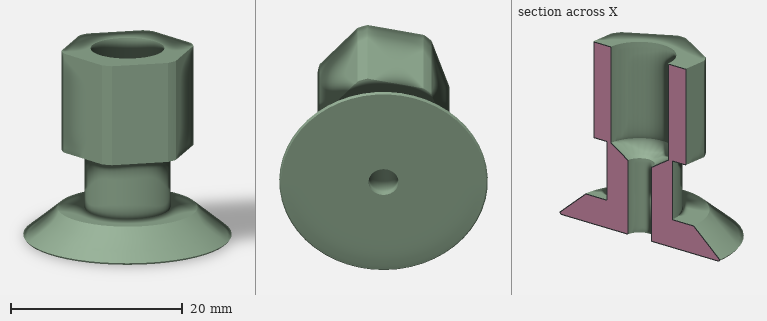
import cadquery as cq
import math

height = 22.8
cup_diameter = 24.32
cup_top_diameter = 16.35
cup_height = 3.53
lip_height = 0.25
lip_inset = 0.2
stem_diameter = 10.0
hex_bottom = 10.8
hex_across_flats = 14.0
hex_corner_diameter = 15.52
bore_diameter = 8.6
passage_diameter = 3.5
bore_cone_angle = 118.0


def make_cup_and_stem():
    """Revolve the flared cup, its bevelled lip and the stem around Z."""
    cup_radius = cup_diameter / 2
    stem_radius = stem_diameter / 2
    profile = (
        cq.Workplane("XZ")
        .lineTo(cup_radius - lip_inset, 0)
        .lineTo(cup_radius, lip_height)
        .lineTo(cup_top_diameter / 2, cup_height)
        .lineTo(stem_radius, cup_height)
        .lineTo(stem_radius, hex_bottom)
        .lineTo(0, hex_bottom)
        .close()
    )
    return profile.revolve(360, (0, 0, 0), (0, 1, 0))


def make_hex_head():
    """Hexagon with flats facing +Y and -Y, its corners turned to a cylinder."""
    head_height = height - hex_bottom
    vertex_diameter = hex_across_flats / math.cos(math.radians(30))
    base = cq.Workplane("XY").workplane(offset=hex_bottom)
    hexagon = base.polygon(6, vertex_diameter).extrude(head_height)
    corner_cylinder = base.circle(hex_corner_diameter / 2).extrude(head_height)
    return hexagon.intersect(corner_cylinder)


def make_bore():
    """Blind bore down to the stem, a conical bottom and a through passage."""
    bore_radius = bore_diameter / 2
    passage_radius = passage_diameter / 2
    cone_height = (bore_radius - passage_radius) / math.tan(math.radians(bore_cone_angle / 2))
    profile = (
        cq.Workplane("XZ")
        .lineTo(passage_radius, 0)
        .lineTo(passage_radius, hex_bottom - cone_height)
        .lineTo(bore_radius, hex_bottom)
        .lineTo(bore_radius, height)
        .lineTo(0, height)
        .close()
    )
    return profile.revolve(360, (0, 0, 0), (0, 1, 0))


result = make_cup_and_stem().union(make_hex_head()).cut(make_bore())